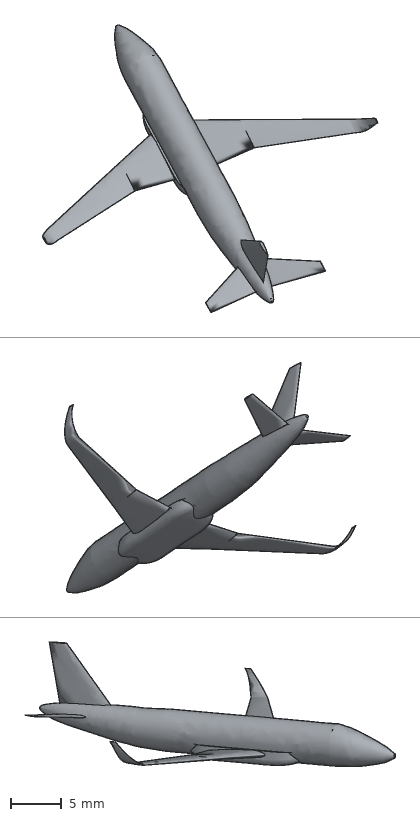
import cadquery as cq
import math

LENGTH = 37.57
CABIN_HALF_WIDTH = 2.03
CABIN_HALF_HEIGHT = 2.1
CABIN_START = 6.12
CABIN_END = 24.0
TAIL_CAP_START = 37.35

CABIN_FRONT = (CABIN_START, 0, CABIN_HALF_WIDTH, CABIN_HALF_HEIGHT)
CABIN_REAR = (CABIN_END, 0, CABIN_HALF_WIDTH, CABIN_HALF_HEIGHT)
NOSE_STATIONS = [
    (0, -0.6, 0.23, 0.23),
    (0.45, -0.6, 0.53, 0.53),
    (1.35, -0.53, 0.95, 0.95),
    (2.7, -0.38, 1.4, 1.4),
    (4.05, -0.23, 1.75, 1.75),
    (5.25, -0.05, 2.0, 2.0),
    CABIN_FRONT,
]
TAIL_CAP_BASE = (TAIL_CAP_START, 1.1, 0.3, 0.35)
TAIL_STATIONS = [
    CABIN_REAR,
    (27.05, 0.08, 1.9, 1.95),
    (30.05, 0.35, 1.6, 1.7),
    (33.05, 0.65, 1.28, 1.3),
    (35.7, 0.85, 0.83, 0.9),
    TAIL_CAP_BASE,
]
TAIL_CAP_STATIONS = [TAIL_CAP_BASE, (LENGTH, 1.13, 0.15, 0.15)]

FAIRING_START = 9.45
FAIRING_END = 21.23
FAIRING_FLAT_START = 13.15
FAIRING_FLAT_END = 18.2
FAIRING_HALF_WIDTH = 2.15
FAIRING_END_HALF_WIDTH = 1.28
FAIRING_SHOULDER = 1.3
FAIRING_SHOULDER_HALF_WIDTH = 2.0
FAIRING_TOP = -0.75
FAIRING_BOTTOM = -2.25
FAIRING_END_BOTTOM = -1.73
FAIRING_EDGE_RADIUS = 0.6

WING_ROOT = (11.75, 18.82, 0, -1.35, 2.3, 0)
WING_KINK = (15.03, 18.75, 6.42, -0.68, 1.2, 0)
WINGLET_BASE = (19.87, 21.68, 16.05, 0.2, 0.5, 0)
WINGLET_STATIONS = [
    WINGLET_BASE,
    (20.6, 22.13, 16.95, 0.65, 0.4, 45),
    (21.4, 22.45, 17.5, 1.45, 0.3, 65),
    (22.43, 23.03, 17.8, 2.63, 0.2, 85),
]
TAILPLANE_ROOT = (31.37, 35.45, 0, 0.68, 0.9, 0)
TAILPLANE_TIP = (35.4, 36.7, 6.15, 1.73, 0.4, 0)
FIN_CANT = 90
FIN_ROOT = (29.38, 35.4, 0, 1.13, 1.6, FIN_CANT)
FIN_TIP = (34.75, 36.63, 0, 7.85, 0.9, FIN_CANT)

AEROFOIL = [(0.7, 0.23), (0.3, 0.38), (0.07, 0.245)]


def ellipse_section(x, z, half_width, half_height):
    """Elliptical fuselage cross-section, its seam on top."""
    plane = cq.Plane(origin=(x, 0, z), xDir=(0, 0, 1), normal=(1, 0, 0))
    return cq.Workplane(plane).ellipse(half_height, half_width).val()


def fuselage_part(stations, ruled=False):
    return cq.Solid.makeLoft([ellipse_section(*station) for station in stations], ruled)


def aerofoil_section(leading, trailing, y, z, thickness, cant):
    """Symmetric aerofoil, sharp at the trailing edge, rolled by the cant angle about X."""
    chord = trailing - leading
    roll = math.radians(cant)
    normal = (0, -math.cos(roll), -math.sin(roll))
    plane = cq.Plane(origin=(leading, y, z), xDir=(1, 0, 0), normal=normal)
    upper = [(chord * along, thickness / 2 * height) for along, height in AEROFOIL]
    lower = [(along, -height) for along, height in reversed(upper)]
    tail = (chord, 0)
    return cq.Workplane(plane).spline([tail, *upper, (0, 0), *lower, tail]).close().val()


def surface(stations, ruled=True):
    return cq.Solid.makeLoft([aerofoil_section(*station) for station in stations], ruled)


def mirrored_pair(half):
    """Join a half that starts at Y = 0 with its mirror image."""
    half = cq.Workplane(half)
    return half.union(half.mirror("XZ"))


def make_fuselage():
    cabin = fuselage_part([CABIN_FRONT, CABIN_REAR], ruled=True)
    body = cq.Workplane(cabin).union(cq.Workplane(fuselage_part(NOSE_STATIONS)))
    body = body.union(cq.Workplane(fuselage_part(TAIL_STATIONS)))
    return body.union(cq.Workplane(fuselage_part(TAIL_CAP_STATIONS, ruled=True)))


def make_fairing():
    """Rounded plan outline cut to a boat-shaped side profile, with rounded lower edges."""
    shoulder_start = FAIRING_START + FAIRING_SHOULDER
    shoulder_end = FAIRING_END - FAIRING_SHOULDER
    edge = [
        (FAIRING_START, FAIRING_END_HALF_WIDTH),
        (shoulder_start, FAIRING_SHOULDER_HALF_WIDTH),
        (FAIRING_FLAT_START, FAIRING_HALF_WIDTH),
        (FAIRING_FLAT_END, FAIRING_HALF_WIDTH),
        (shoulder_end, FAIRING_SHOULDER_HALF_WIDTH),
        (FAIRING_END, FAIRING_END_HALF_WIDTH),
    ]
    opposite_edge = [(x, -y) for x, y in reversed(edge)]
    plan = (
        cq.Workplane("XY", origin=(0, 0, FAIRING_BOTTOM))
        .spline(edge)
        .lineTo(*opposite_edge[0])
        .spline(opposite_edge[1:], includeCurrent=True)
        .close()
        .extrude(FAIRING_TOP - FAIRING_BOTTOM)
    )
    profile = (
        cq.Workplane("XZ")
        .moveTo(FAIRING_START, FAIRING_TOP)
        .lineTo(FAIRING_START, FAIRING_END_BOTTOM)
        .spline([(FAIRING_FLAT_START, FAIRING_BOTTOM)], tangents=[(2, -1), (1, 0)], includeCurrent=True)
        .lineTo(FAIRING_FLAT_END, FAIRING_BOTTOM)
        .spline([(FAIRING_END, FAIRING_END_BOTTOM)], tangents=[(1, 0), (2, 1)], includeCurrent=True)
        .lineTo(FAIRING_END, FAIRING_TOP)
        .close()
        .extrude(FAIRING_HALF_WIDTH * 2, both=True)
    )
    return plan.intersect(profile).faces("<Z").edges().fillet(FAIRING_EDGE_RADIUS)


def make_wing():
    """Both wing halves with their curved winglets, one piece through the fuselage."""
    half = cq.Workplane(surface([WING_ROOT, WING_KINK, WINGLET_BASE]))
    half = half.union(cq.Workplane(surface(WINGLET_STATIONS, ruled=False)))
    return mirrored_pair(half.val())


def make_tailplane():
    return mirrored_pair(surface([TAILPLANE_ROOT, TAILPLANE_TIP]))


def make_fin():
    return cq.Workplane(surface([FIN_ROOT, FIN_TIP]))


wing = make_wing()
tailplane = make_tailplane()
fin = make_fin()

whole_fairing = make_fairing()
fairing = whole_fairing.cut(wing)
fuselage = make_fuselage().cut(whole_fairing).cut(wing).cut(tailplane).cut(fin)

result = cq.Compound.makeCompound(
    [body.solids().val() for body in (fuselage, fairing, wing, tailplane, fin)]
)